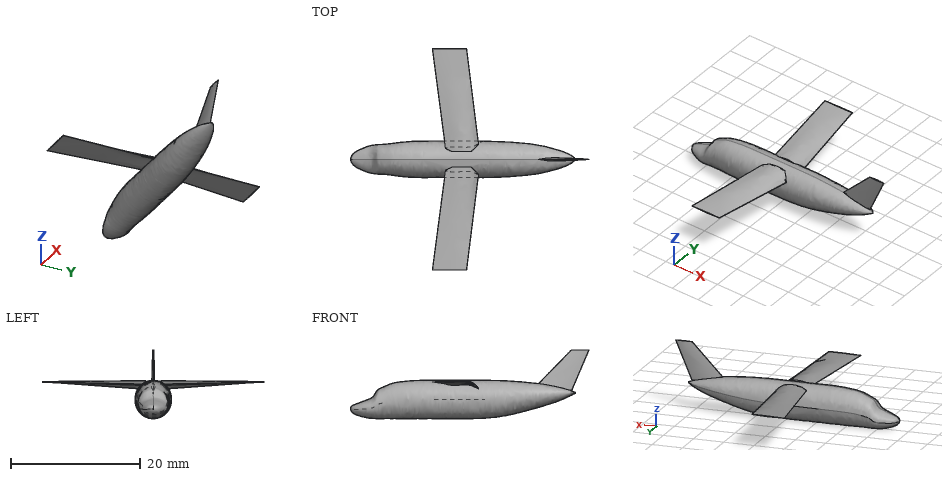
import cadquery as cq

LENGTH = 37.0
WING_SPAN = 34.37
HEIGHT = 10.7

CABIN_HALF_WIDTH = 2.85
BELLY = 0.0
ROOF = 6.0
NOSE_HEIGHT = 1.55
TAIL_X = 34.9
TAIL_HEIGHT = 4.05
TIP_RADIUS = 0.07

NOSE_STATIONS = [
    (0.1, 1.2, 1.9, 0.4),
    (0.37, 0.9, 2.1, 0.8),
    (0.92, 0.6, 2.33, 1.25),
    (1.85, 0.3, 2.7, 1.7),
    (2.95, 0.07, 3.1, 2.1),
    (3.55, 0.05, 3.5, 2.22),
]
CABIN_STATIONS = [
    (4.07, BELLY, 4.33, 2.3),
    (4.92, BELLY, 4.9, 2.33),
    (6.1, BELLY, 5.4, 2.45),
    (8.15, BELLY, 5.8, 2.7),
    (10.73, BELLY, ROOF, CABIN_HALF_WIDTH),
    (13.32, BELLY, ROOF, CABIN_HALF_WIDTH),
    (15.9, BELLY, ROOF, CABIN_HALF_WIDTH),
    (18.5, BELLY, ROOF, CABIN_HALF_WIDTH),
    (20.72, 0.07, ROOF, CABIN_HALF_WIDTH),
]
TAIL_STATIONS = [
    (23.3, 0.35, 5.95, 2.78),
    (26.27, 0.95, 5.77, 2.6),
    (29.23, 1.78, 5.48, 2.22),
    (31.82, 2.6, 5.05, 1.6),
    (33.67, 3.35, 4.55, 0.92),
]

WING_ROOT_Y = 1.2
WING_ROOT_LEADING_X = 14.8
WING_ROOT_TRAILING_X = 20.0
WING_TIP_LEADING_X = 12.7
WING_TIP_TRAILING_X = 18.02
WING_TIP_HEIGHT = 5.75
WING_TIP_THICKNESS = 0.15
WING_ROOT_LEADING_HEIGHT = 5.4
WING_ROOT_TRAILING_HEIGHT = 4.55
WING_ROOT_TOP = 5.92
WING_ROOT_UNDERSIDE = 5.18
EDGE_THICKNESS = 0.07
CREST_POSITION = 0.4
DROOP_POSITION = 0.75
DROOP_FRACTION = 0.15

FIN_BASE_HEIGHT = 4.45
FIN_BASE_LEADING_X = 28.15
FIN_BASE_TRAILING_X = 34.35
FIN_BASE_THICKNESS = 0.6
FIN_TOP_LEADING_X = 34.25
FIN_TOP_THICKNESS = 0.22


def body_section(x, belly, roof, half_width):
    """Upright elliptical cross-section of the fuselage."""
    plane = cq.Plane(origin=(x, 0, (belly + roof) / 2), xDir=(0, 1, 0), normal=(1, 0, 0))
    return cq.Workplane(plane).ellipse(half_width, (roof - belly) / 2).val()


def tip_section(x, height):
    """Small round section closing one end of the fuselage."""
    return body_section(x, height - TIP_RADIUS, height + TIP_RADIUS, TIP_RADIUS)


def make_fuselage():
    sections = [tip_section(0, NOSE_HEIGHT)]
    sections += [body_section(*station) for station in NOSE_STATIONS + CABIN_STATIONS + TAIL_STATIONS]
    sections.append(tip_section(TAIL_X, TAIL_HEIGHT))
    return cq.Workplane(cq.Solid.makeLoft(sections))


def airfoil(y, leading, trailing, crest, underside):
    """Closed section from two curves; leading and trailing are (x, z) points."""
    chord = trailing[0] - leading[0]
    crest_x = leading[0] + CREST_POSITION * chord
    droop_x = leading[0] + DROOP_POSITION * chord
    droop_height = crest - DROOP_FRACTION * (crest - trailing[1])
    top = [(crest_x, crest), (droop_x, droop_height)]
    bottom = [(droop_x, underside), (crest_x, underside)]
    upper_trailing = (trailing[0], trailing[1] + EDGE_THICKNESS)
    plane = cq.Workplane("XZ", origin=(0, y, 0))
    outline = plane.moveTo(*leading).spline(top + [upper_trailing], includeCurrent=True)
    return outline.lineTo(*trailing).spline(bottom + [leading], includeCurrent=True).close().val()


def make_wing():
    root = airfoil(
        WING_ROOT_Y,
        (WING_ROOT_LEADING_X, WING_ROOT_LEADING_HEIGHT),
        (WING_ROOT_TRAILING_X, WING_ROOT_TRAILING_HEIGHT),
        WING_ROOT_TOP,
        WING_ROOT_UNDERSIDE,
    )
    tip = airfoil(
        WING_SPAN / 2,
        (WING_TIP_LEADING_X, WING_TIP_HEIGHT),
        (WING_TIP_TRAILING_X, WING_TIP_HEIGHT),
        WING_TIP_HEIGHT + WING_TIP_THICKNESS / 2,
        WING_TIP_HEIGHT - WING_TIP_THICKNESS / 2,
    )
    return cq.Workplane(cq.Solid.makeLoft([root, tip], True))


def fin_section(z, leading_x, trailing_x, thickness):
    """Horizontal lens with sharp leading and trailing edges."""
    middle_x = (leading_x + trailing_x) / 2
    outline = cq.Workplane("XY", origin=(0, 0, z)).moveTo(leading_x, 0)
    outline = outline.threePointArc((middle_x, thickness / 2), (trailing_x, 0))
    return outline.threePointArc((middle_x, -thickness / 2), (leading_x, 0)).close().val()


def make_fin():
    base = fin_section(FIN_BASE_HEIGHT, FIN_BASE_LEADING_X, FIN_BASE_TRAILING_X, FIN_BASE_THICKNESS)
    top = fin_section(HEIGHT, FIN_TOP_LEADING_X, LENGTH, FIN_TOP_THICKNESS)
    return cq.Workplane(cq.Solid.makeLoft([base, top], True))


wing = make_wing()
result = make_fuselage().union(wing).union(wing.mirror("XZ")).union(make_fin())